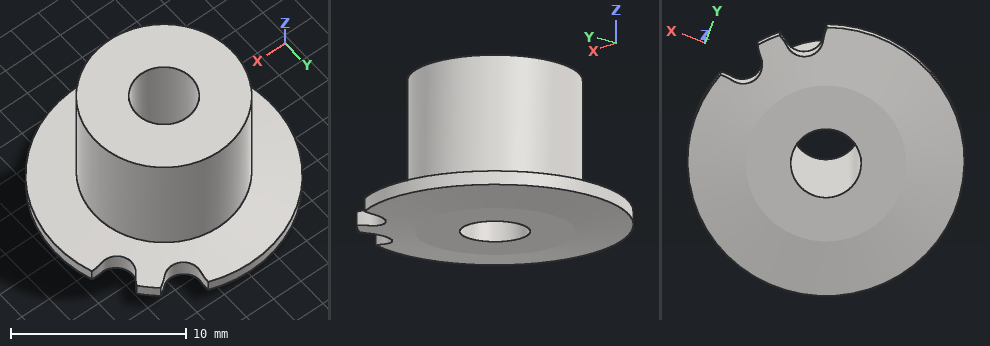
import cadquery as cq
import math

rim_radius = 7.9
hub_radius = 5.01
bore_radius = 2.0
total_height = 9.0

rim_thickness = 0.8
lower_cone_height = 0.4
upper_cone_height = 0.38
bottom_face_radius = 4.58

notch_angles = (30.0, 60.0)
notch_pitch_radius = 7.44
notch_radius = 1.1
notch_mouth_half_angle = math.radians(10.0)
flare_start_angle = math.radians(18.0)
cut_overrun = 0.79


def make_body():
    """Revolve the hub, flange and bore as a single profile."""
    rim_bottom = lower_cone_height
    rim_top = rim_bottom + rim_thickness
    hub_bottom = rim_top + upper_cone_height
    return (
        cq.Workplane("YZ")
        .moveTo(bore_radius, 0)
        .lineTo(bottom_face_radius, 0)
        .lineTo(rim_radius, rim_bottom)
        .lineTo(rim_radius, rim_top)
        .lineTo(hub_radius, hub_bottom)
        .lineTo(hub_radius, total_height)
        .lineTo(bore_radius, total_height)
        .close()
        .revolve(360, (0, 0, 0), (0, 1, 0))
    )


def make_notch(angle):
    """Cutter for one notch, opening outward along +X before being turned to its angle."""
    flare_x = notch_pitch_radius - notch_radius * math.sin(flare_start_angle)
    flare_y = notch_radius * math.cos(flare_start_angle)
    mouth_x = rim_radius * math.cos(notch_mouth_half_angle)
    mouth_y = rim_radius * math.sin(notch_mouth_half_angle)
    half_sweep = (math.pi / 2 - flare_start_angle) / 2
    outer_x = rim_radius + cut_overrun
    pocket_bottom = (notch_pitch_radius - notch_radius, 0)
    half_notch = (
        cq.Workplane("XY")
        .moveTo(*pocket_bottom)
        .threePointArc(
            (
                notch_pitch_radius - notch_radius * math.cos(half_sweep),
                notch_radius * math.sin(half_sweep),
            ),
            (flare_x, flare_y),
        )
        .tangentArcPoint((mouth_x, mouth_y), relative=False)
        .lineTo(outer_x, mouth_y)
        .lineTo(outer_x, 0)
        .close()
        .extrude(total_height)
    )
    notch = half_notch.union(half_notch.mirror("XZ"))
    return notch.rotate((0, 0, 0), (0, 0, 1), angle)


result = make_body()
for notch_angle in notch_angles:
    result = result.cut(make_notch(notch_angle))